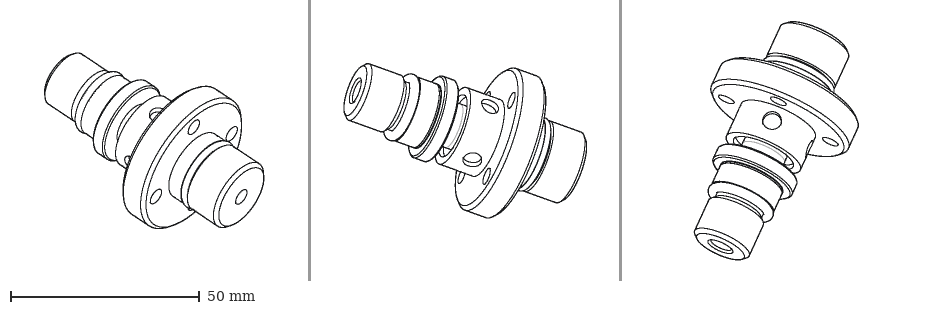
import cadquery as cq
import math

total_length = 63.9
nose_end = 10.5
nose_groove_start = 11.75
front_land_start = 14.8
rim_start = 20.4
rim_end = 20.8
collar_start = 21.0
collar_end = 25.1
body_start = 28.75
flange_start = 38.7
flange_end = 46.95
rear_groove_start = 51.25
rear_land_start = 53.6

nose_diameter = 16.0
nose_groove_diameter = 13.5
front_land_diameter = 18.0
rim_diameter = 18.1
collar_diameter = 23.0
neck_diameter = 12.3
body_diameter = 21.6
flange_diameter = 40.0
rear_diameter = 19.95
rear_groove_diameter = 16.95

end_chamfer = 1.0
collar_chamfer = 0.45

ring_embed = 0.03
front_ring_x = 13.6
front_ring_section = 2.6
rear_ring_x = 52.1
rear_ring_section = 1.85

bore_diameter = 4.5
counterbore_diameter = 6.0
counterbore_depth = 5.1
drill_point_angle = 118.0
countersink_diameter = 7.2

pocket_diameter = 17.4
pocket_depth = 1.5

recess_diameter = 5.0
recess_x = 34.5
recess_floor_diameter = 18.4
recess_count = 4

mount_hole_diameter = 4.5
mount_circle_diameter = 30.05
mount_hole_count = 4


def cylinder(x_start, x_end, diameter):
    """Solid cylinder on the X axis between two axial positions."""
    return cq.Workplane("YZ", origin=(x_start, 0, 0)).circle(diameter / 2).extrude(x_end - x_start)


def cone(x_start, x_end, start_diameter, end_diameter):
    """Solid truncated cone on the X axis between two axial positions."""
    return (
        cq.Workplane("YZ", origin=(x_start, 0, 0))
        .circle(start_diameter / 2)
        .workplane(offset=x_end - x_start)
        .circle(end_diameter / 2)
        .loft()
    )


def seal_ring(x_center, groove_diameter, section):
    """Torus of round section around the X axis, seated on a groove floor."""
    pitch_radius = (groove_diameter + section) / 2 - ring_embed
    return (
        cq.Workplane("XY", origin=(x_center, 0, 0))
        .center(0, pitch_radius)
        .circle(section / 2)
        .revolve(360, (0, -pitch_radius), (1, -pitch_radius))
    )


nose = cylinder(0, nose_end, nose_diameter).faces("<X").chamfer(end_chamfer)
nose_taper = cone(nose_end, nose_groove_start, nose_diameter, nose_groove_diameter)
collar = cylinder(collar_start, collar_end, collar_diameter).edges().chamfer(collar_chamfer)
flange = cylinder(flange_start, flange_end, flange_diameter).edges().chamfer(end_chamfer)
rear_land = cylinder(rear_land_start, total_length, rear_diameter).faces(">X").chamfer(end_chamfer)

result = (
    nose.union(nose_taper)
    .union(cylinder(nose_groove_start, front_land_start, nose_groove_diameter))
    .union(cylinder(front_land_start, collar_start, front_land_diameter))
    .union(cylinder(rim_start, rim_end, rim_diameter))
    .union(collar)
    .union(cylinder(collar_end, body_start, neck_diameter))
    .union(cylinder(body_start, flange_start, body_diameter))
    .union(flange)
    .union(cylinder(flange_end, rear_groove_start, rear_diameter))
    .union(cylinder(rear_groove_start, rear_land_start, rear_groove_diameter))
    .union(rear_land)
)

result = result.union(seal_ring(front_ring_x, nose_groove_diameter, front_ring_section))
result = result.union(seal_ring(rear_ring_x, rear_groove_diameter, rear_ring_section))

pocket_end = body_start + pocket_depth
pocket = cylinder(body_start, pocket_end, pocket_diameter).cut(cylinder(body_start, pocket_end, neck_diameter))
result = result.cut(pocket)

recess_core = cylinder(body_start, flange_start, recess_floor_diameter)
for index in range(recess_count):
    drilling = (
        cq.Workplane("XY", origin=(recess_x, 0, 0))
        .circle(recess_diameter / 2)
        .extrude(body_diameter)
        .rotate((0, 0, 0), (1, 0, 0), index * 360 / recess_count)
    )
    result = result.cut(drilling.cut(recess_core))

countersink_depth = (countersink_diameter - counterbore_diameter) / 2
drill_point_depth = (counterbore_diameter - bore_diameter) / 2 / math.tan(math.radians(drill_point_angle / 2))
drill_point_end = counterbore_depth + drill_point_depth
result = result.cut(cylinder(0, total_length, bore_diameter))
result = result.cut(cylinder(0, counterbore_depth, counterbore_diameter))
result = result.cut(cone(counterbore_depth, drill_point_end, counterbore_diameter, bore_diameter))
result = result.cut(cone(0, countersink_depth, countersink_diameter, counterbore_diameter))

mount_holes = (
    cq.Workplane("YZ", origin=(flange_start, 0, 0))
    .polarArray(mount_circle_diameter / 2, 0, 360, mount_hole_count)
    .circle(mount_hole_diameter / 2)
    .extrude(flange_end - flange_start)
)
result = result.cut(mount_holes)